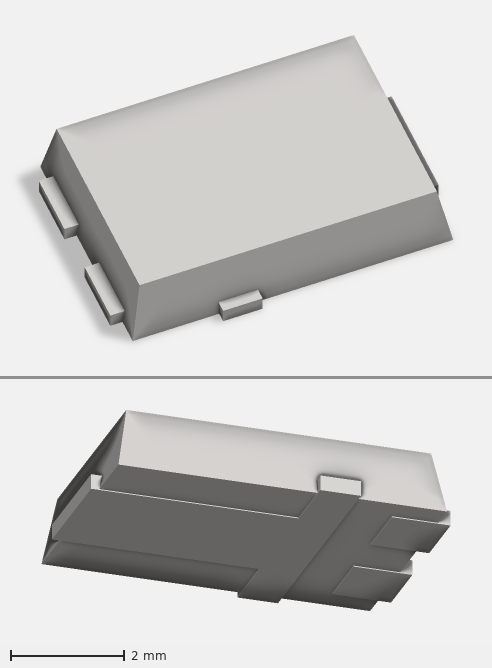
import cadquery as cq

housing_width = 4.31
housing_length = 6.115
housing_height = 1.2
side_inset = 0.22

metal_thickness = 0.285
standoff = 0.02

cathode_width = 2.19
cathode_overhang = 0.155
crossbar_span = 4.65
crossbar_width = 0.755

pad_width = 1.195
pad_length = 1.09
pad_spacing = 2.14
pad_overhang = 0.23
pad_gap = 0.79

back_y = housing_length / 2 + cathode_overhang
front_y = -housing_length / 2 - pad_overhang
cathode_front_y = front_y + pad_length + pad_gap


def make_strip(center_x, start_y, width, length):
    """Flat metal strip on the mounting plane, running toward +Y from start_y."""
    strip = cq.Workplane("XY").box(width, length, metal_thickness, centered=(True, False, False))
    return strip.translate((center_x, start_y, 0))


def make_cathode():
    strip = make_strip(0, cathode_front_y, cathode_width, back_y - cathode_front_y)
    crossbar = make_strip(0, cathode_front_y, crossbar_span, crossbar_width)
    return strip.union(crossbar)


def make_anode_pad(center_x):
    return make_strip(center_x, front_y, pad_width, pad_length)


def make_housing(inserts):
    """Tapered block with a matching recess for every metal insert."""
    body = (
        cq.Workplane("XY", origin=(0, 0, standoff))
        .rect(housing_width, housing_length)
        .workplane(offset=housing_height)
        .rect(housing_width - 2 * side_inset, housing_length - 2 * side_inset)
        .loft(ruled=True)
    )
    for insert in inserts:
        body = body.cut(insert)
    return body


cathode = make_cathode()
anode_pads = [make_anode_pad(side * pad_spacing / 2) for side in (-1, 1)]
housing = make_housing([cathode, *anode_pads])

result = cq.Compound.makeCompound([housing.val(), cathode.val(), *[pad.val() for pad in anode_pads]])